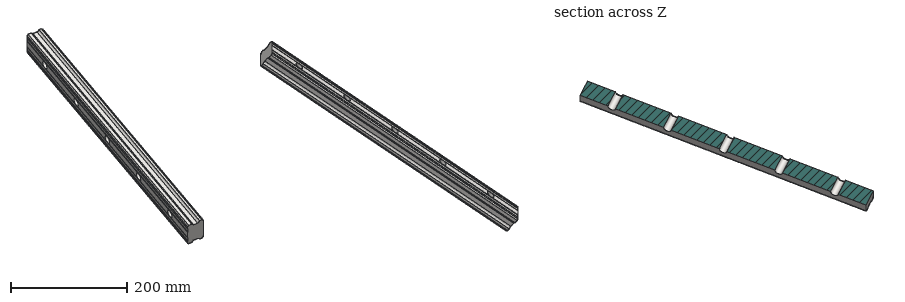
import cadquery as cq

length = 540.0
depth = 32.0
height = 45.0

hole_count = 5
hole_pitch = 105.0
hole_diameter = 14.0

groove_depth = 3.4
groove_back_edge = 8.2
groove_floor_half_width = 4.0
groove_front_edge = -7.7
arc_radius = 4.0
arc_end = 5.4
arc_drop = 2.8

back_chamfer = 2.8
back_ledge = 0.7
front_chamfer = 2.2

relief_inner = 7.0
relief_outer = 15.0
relief_depth = 0.5

half_depth = depth / 2
half_height = height / 2
groove_floor_height = half_height - groove_depth


def half_rail():
    """Upper half of the rail, extruded along X from its Y-Z section."""
    back = half_depth
    front = -half_depth
    ledge_edge = back - back_ledge
    relief_floor = front + relief_depth
    section = (
        cq.Workplane("YZ", origin=(-length / 2, 0, 0))
        .moveTo(back, 0)
        .lineTo(back, half_height - back_chamfer)
        .lineTo(ledge_edge, half_height - back_chamfer)
        .lineTo(ledge_edge - back_chamfer, half_height)
        .lineTo(groove_back_edge, half_height)
        .radiusArc((arc_end, half_height - arc_drop), arc_radius)
        .lineTo(groove_floor_half_width, groove_floor_height)
        .lineTo(-groove_floor_half_width, groove_floor_height)
        .lineTo(groove_front_edge, half_height)
        .lineTo(front + front_chamfer, half_height)
        .lineTo(front, half_height - front_chamfer)
        .lineTo(front, relief_outer)
        .lineTo(relief_floor, relief_outer - relief_depth)
        .lineTo(relief_floor, relief_inner + relief_depth)
        .lineTo(front, relief_inner)
        .lineTo(front, 0)
        .close()
    )
    return section.extrude(length)


def bolt_holes():
    """Row of plain through holes along Y, centred on the rail."""
    return (
        cq.Workplane("XZ", origin=(0, half_depth, 0))
        .rarray(hole_pitch, 1, hole_count, 1)
        .circle(hole_diameter / 2)
        .extrude(depth)
    )


upper_half = half_rail()
rail = upper_half.union(upper_half.mirror("XY")).clean()
result = rail.cut(bolt_holes())